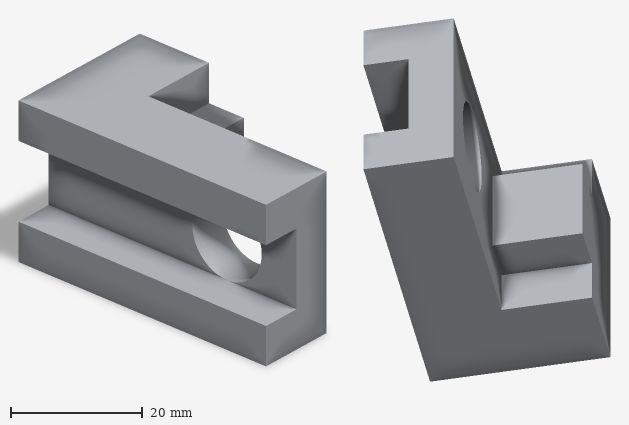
import cadquery as cq

length = 50
depth = 28
height = 28

wall = depth / 2
leg_width = 14

channel_height = height / 2
channel_depth = 7
channel_bottom = (height - channel_height) / 2

tongue_length = channel_depth

hole_diameter = channel_height
hole_x = length - 14


def corner_block(size_x, size_y, size_z):
    """Box with its lowest corner at the origin."""
    return cq.Workplane("XY").box(size_x, size_y, size_z, centered=False)


body = corner_block(length, wall, height).union(corner_block(leg_width, depth, height))

tongue = corner_block(leg_width + tongue_length, depth, channel_height).translate((0, 0, channel_bottom))

channel = corner_block(length, channel_depth, channel_height).translate((0, 0, channel_bottom))

hole = (
    cq.Workplane("XZ")
    .center(hole_x, height / 2)
    .circle(hole_diameter / 2)
    .extrude(-wall)
)

result = body.union(tongue).cut(channel).cut(hole)